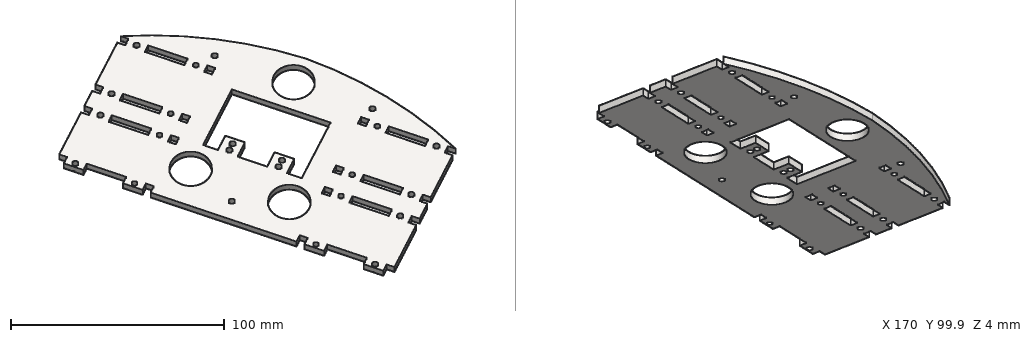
import cadquery as cq
import math

thickness = 4.0
width = 170.0
crown_radius = 200.0
crown_centre_y = -100.0

slot_width = 4.0
end_notch_length = 4.0
tab_length = 10.0
middle_slot_length = 20.0
outer_tab_hole_diameter = 3.0
inner_tab_hole_diameter = 2.7
row_pair_pitch = 30.5
row_pair_gap = 9.5
first_row_y = slot_width / 2
second_row_y = first_row_y + row_pair_pitch
third_row_y = second_row_y + slot_width + row_pair_gap
fourth_row_y = third_row_y + row_pair_pitch
row_positions = [first_row_y, second_row_y, third_row_y, fourth_row_y]

side_length = fourth_row_y + slot_width / 2
crown_centre_x = math.sqrt(crown_radius**2 - (side_length - crown_centre_y) ** 2) - width / 2
depth = crown_centre_y + math.sqrt(crown_radius**2 - crown_centre_x**2)

window_width = 50.0
window_near_y = 35.0
window_far_y = 70.0
bracket_x = 12.5
bracket_width = 10.0
bracket_height = 9.0
bracket_hole_diameter = 3.0
bracket_first_hole = 2.0
bracket_hole_pitch = 4.0

opening_diameter = 20.0
near_opening_x = 25.0
near_opening_y = 20.0
far_opening_y = 85.0
mounting_hole_diameter = 3.0
near_mounting_y = 10.0
far_mounting_x = 40.0
far_mounting_y = far_opening_y


def block(x_start, x_end, y_start, y_end):
    """Full-thickness box between the given X and Y limits."""
    return cq.Workplane("XY").box(
        x_end - x_start, y_end - y_start, thickness, centered=False
    ).translate((x_start, y_start, 0))


def holes(points, diameter):
    """Full-thickness cylinders at the given points."""
    return cq.Workplane("XY").pushPoints(points).circle(diameter / 2).extrude(thickness)


def mirrored(cutter):
    """The cutter together with its mirror image across the YZ plane."""
    return cutter.union(cutter.mirror("YZ"))


def plate():
    """Plate outline at full thickness, before any cuts."""
    half_width = width / 2
    return (
        cq.Workplane("XY")
        .moveTo(-half_width, 0)
        .lineTo(half_width, 0)
        .lineTo(half_width, side_length)
        .radiusArc((0, depth), -crown_radius)
        .radiusArc((-half_width, side_length), -crown_radius)
        .close()
        .extrude(thickness)
    )


def joint_row(row_y):
    """Slots and tab holes of one row on the -X side, from the outer edge inwards."""
    near_y = row_y - slot_width / 2
    far_y = row_y + slot_width / 2

    notch_start = -width / 2
    notch_end = notch_start + end_notch_length
    middle_start = notch_end + tab_length
    middle_end = middle_start + middle_slot_length
    inner_start = middle_end + tab_length
    inner_end = inner_start + end_notch_length

    outer_tab_centre = ((notch_end + middle_start) / 2, row_y)
    inner_tab_centre = ((middle_end + inner_start) / 2, row_y)
    return (
        block(notch_start, notch_end, near_y, far_y)
        .union(block(middle_start, middle_end, near_y, far_y))
        .union(block(inner_start, inner_end, near_y, far_y))
        .union(holes([outer_tab_centre], outer_tab_hole_diameter))
        .union(holes([inner_tab_centre], inner_tab_hole_diameter))
    )


def window():
    """Window cutter that leaves the two drilled tabs standing."""
    opening = block(-window_width / 2, window_width / 2, window_near_y, window_far_y)
    bracket = block(
        bracket_x - bracket_width / 2,
        bracket_x + bracket_width / 2,
        window_near_y,
        window_near_y + bracket_height,
    )
    first_hole_y = window_near_y + bracket_first_hole
    hole_points = [
        (bracket_x, first_hole_y),
        (bracket_x, first_hole_y + bracket_hole_pitch),
    ]
    bracket_holes = holes(hole_points, bracket_hole_diameter)
    return opening.cut(mirrored(bracket)).union(mirrored(bracket_holes))


def round_openings():
    """Two large openings near the near edge and one below the peak."""
    points = [
        (-near_opening_x, near_opening_y),
        (near_opening_x, near_opening_y),
        (0, far_opening_y),
    ]
    return holes(points, opening_diameter)


def mounting_holes():
    """One hole on the centre line and one on each side of the far opening."""
    points = [
        (0, near_mounting_y),
        (-far_mounting_x, far_mounting_y),
        (far_mounting_x, far_mounting_y),
    ]
    return holes(points, mounting_hole_diameter)


result = plate()
for row_y in row_positions:
    result = result.cut(mirrored(joint_row(row_y)))
result = result.cut(window()).cut(round_openings()).cut(mounting_holes())